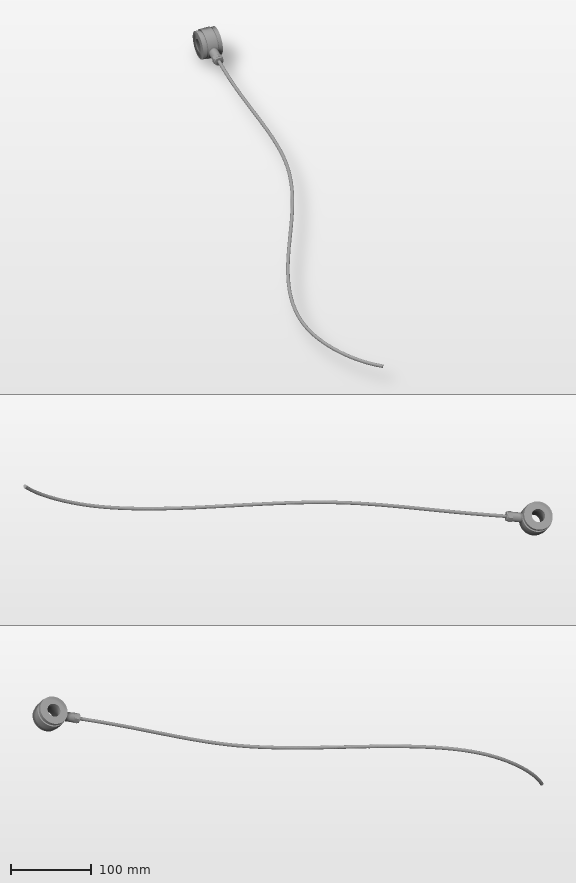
import cadquery as cq
import math

band_diameter = 38.46
flange_diameter = 36.46
ring_depth = 25.8
bore_diameter = 17.0
band_width = 13.0
groove_width = 1.5
groove_depth = 0.7

stub_diameter = 12.0
hex_across_flats = 12.0
collar_diameter = 12.0
gland_seat_depth = 2.0
hex_start_x = 30.5
hex_length = 5.5
collar_length = 2.0

cable_diameter = 4.4
sleeve_end_x = 54.0
cable_points = [
    (sleeve_end_x, 0.0),
    (150.0, 5.6),
    (250.0, 6.1),
    (350.0, -27.1),
    (450.0, -71.0),
    (550.0, -82.5),
    (645.8, -22.6),
]
cable_end_slope = 1.42

flange_width = (ring_depth - band_width) / 2 - groove_width
seat_x = band_diameter / 2 - gland_seat_depth
hex_end_x = hex_start_x + hex_length
gland_end_x = hex_end_x + collar_length
hex_across_corners = hex_across_flats / math.cos(math.pi / 6)


def disc(diameter, y_start, width):
    """Round disc about Y, running from y_start towards +Y."""
    plane = cq.Plane(origin=(0, y_start, 0), xDir=(0, 0, 1), normal=(0, 1, 0))
    return cq.Workplane(plane).circle(diameter / 2).extrude(width)


def rod_plane(x_start):
    """Plane facing +X, with its own x axis along Z."""
    return cq.Plane(origin=(x_start, 0, 0), xDir=(0, 0, 1), normal=(1, 0, 0))


def rod(diameter, x_start, x_end):
    """Round bar along X."""
    return cq.Workplane(rod_plane(x_start)).circle(diameter / 2).extrude(x_end - x_start)


def make_housing():
    """Raised band between two flanges, with a groove on each side of the band."""
    core_diameter = flange_diameter - 2 * groove_depth
    body = disc(core_diameter, -ring_depth / 2, ring_depth)
    body = body.union(disc(band_diameter, -band_width / 2, band_width))
    for flange_start in (-ring_depth / 2, ring_depth / 2 - flange_width):
        body = body.union(disc(flange_diameter, flange_start, flange_width))
    body = body.cut(disc(bore_diameter, -ring_depth / 2, ring_depth))
    return body.cut(rod(stub_diameter, seat_x, hex_start_x))


def make_gland():
    """Stub, hexagon with corners up and down, and end collar."""
    stub = rod(stub_diameter, seat_x, hex_start_x)
    hexagon = cq.Workplane(rod_plane(hex_start_x)).polygon(6, hex_across_corners).extrude(hex_length)
    collar = rod(collar_diameter, hex_end_x, gland_end_x)
    return stub.union(hexagon).union(collar)


def make_cable():
    """Cable following a smooth curve in the XY plane."""
    path = cq.Workplane("XY").spline(cable_points, tangents=[(1, 0), (1, cable_end_slope)])
    return cq.Workplane(rod_plane(sleeve_end_x)).circle(cable_diameter / 2).sweep(path)


housing = make_housing().solids()
gland = make_gland().solids()
sleeve = rod(cable_diameter, gland_end_x, sleeve_end_x)
cable = make_cable()

result = cq.Compound.makeCompound([housing.val(), gland.val(), sleeve.val(), cable.val()])